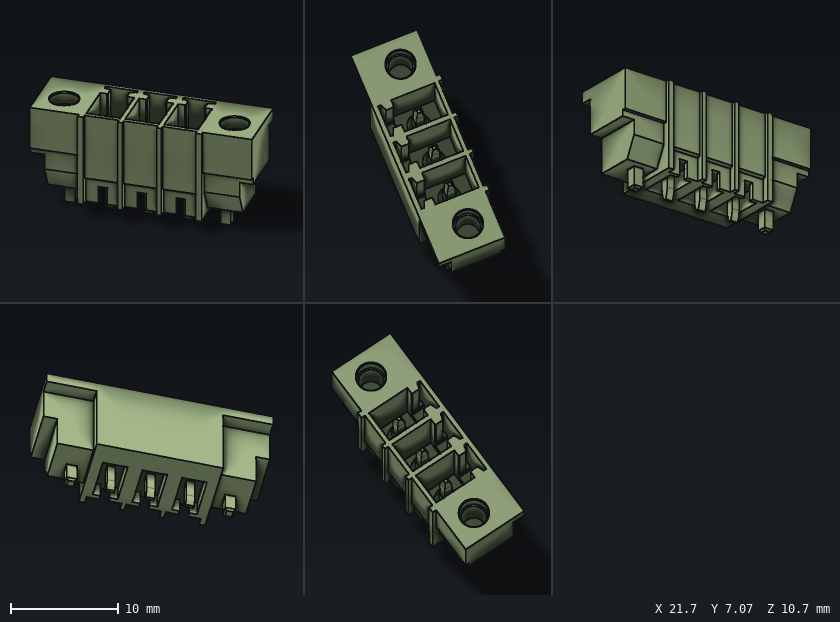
import cadquery as cq

ways = 3
pitch = 3.8
contact_x = [pitch * (i - (ways - 1) / 2) for i in range(ways)]
sides = (-1, 1)

length = 21.72
height = 9.17
back_y = 3.97
front_y = -2.72
lower_front_y = -2.35
skirt_y = -2.41
end_back_y = 2.72
core_half = 6.05
flange_z = 7.93
end_block_z = 4.25
end_lip_z = 4.9
lower_half = 9.54
lower_z = 0.59
bevel_top_z = 2.74
bevel_foot_y = -1.28
skirt_top_z = 2.6
skirt_slope_z = 2.41

rib_front_y = -3.1
rib_width = 0.45
end_rib_width = 0.59

pocket_width = 3.3
pocket_front_y = -2.25
pocket_back_y = 2.1
pocket_floor_z = 3.05
slot_back_y = 3.48
slot_wing_y = 3.2
slot_neck_y = 2.93
slot_width = 3.13
neck_width = 1.85
neck_chamfer = 0.09
slot_floor_z = 4.35
channel_width = 1.78
channel_floor_z = 3.7

collar_base_radius = 1.09
collar_shoulder_radius = 0.9
collar_top_radius = 0.7
collar_shoulder_height = 0.87
collar_height = 1.13
collar_bulge_radius = 0.83
collar_bulge_height = 1.02

cavity_width = 2.4
cavity_front_y = -1.95
cavity_height = 1.72
notch_width = 0.9

hole_x = 8.32
rim_diameter = 2.87
rim_depth = 0.13
bore_diameter = 2.7
bore_depth = 1.25
inner_diameter = 2.32
inner_depth = 4.35

contact_width = 0.8
contact_top_z = 7.86
contact_point_height = 0.74
contact_point_width = 0.33
tail_z = -1.55
tail_round_z = -0.4
tail_round_radius = 2.6

peg_x = 2 * pitch
peg_width = 1.02
peg_tip_width = 0.63
peg_tip_height = 0.22
peg_top_z = 2.74


def block(x_range, y_range, z_range):
    (x0, x1), (y0, y1), (z0, z1) = x_range, y_range, z_range
    return cq.Workplane("XY").box(x1 - x0, y1 - y0, z1 - z0, centered=False).translate((x0, y0, z0))


def centred_block(x, width, y_range, z_range):
    return block((x - width / 2, x + width / 2), y_range, z_range)


def profile_along_x(points, half_length):
    """Extrude a (Y, Z) outline symmetrically about X = 0."""
    return cq.Workplane("YZ").polyline(points).close().extrude(half_length, both=True)


def housing_body():
    core = profile_along_x(
        [
            (back_y, 0),
            (back_y, height),
            (front_y, height),
            (front_y, skirt_top_z),
            (skirt_y, skirt_slope_z),
            (skirt_y, 0),
        ],
        core_half,
    )
    upper_ends = profile_along_x(
        [
            (back_y, height),
            (front_y, height),
            (front_y, end_lip_z),
            (lower_front_y, end_lip_z),
            (lower_front_y, end_block_z),
            (end_back_y, end_block_z),
            (end_back_y, flange_z),
            (back_y, flange_z),
        ],
        length / 2,
    )
    lower_ends = profile_along_x(
        [
            (end_back_y, end_block_z),
            (lower_front_y, end_block_z),
            (lower_front_y, bevel_top_z),
            (bevel_foot_y, lower_z),
            (end_back_y, lower_z),
        ],
        lower_half,
    )
    return core.union(upper_ends).union(lower_ends)


def ribs():
    """Full-height ribs between the ways and, wider, at both ends of the core."""
    rib_y = (rib_front_y, lower_front_y)
    rib_z = (0, height)
    end_rib_x = core_half - end_rib_width / 2
    solids = [centred_block(side * end_rib_x, end_rib_width, rib_y, rib_z) for side in sides]
    for x in contact_x[:-1]:
        solids.append(centred_block(x + pitch / 2, rib_width, rib_y, rib_z))
    return solids


def pocket(x):
    """Rectangular plug pocket with its wing-ended keyed slot and the channel below it."""
    pocket_z = (pocket_floor_z, height)
    half_neck = neck_width / 2
    half_slot = slot_width / 2
    mouth = half_neck + neck_chamfer
    right_side = [
        (mouth, pocket_back_y),
        (half_neck, pocket_back_y + neck_chamfer),
        (half_neck, slot_neck_y),
        (half_slot, slot_wing_y),
        (half_slot, slot_back_y),
    ]
    left_side = [(-px, py) for px, py in reversed(right_side)]
    slot = (
        cq.Workplane("XY", origin=(x, 0, slot_floor_z))
        .polyline(right_side + left_side)
        .close()
        .extrude(height - slot_floor_z)
    )
    channel = centred_block(x, channel_width, (pocket_back_y, slot_back_y), (channel_floor_z, height))
    plug_space = centred_block(x, pocket_width, (pocket_front_y, pocket_back_y), pocket_z)
    return plug_space.union(slot).union(channel)


def collar(x):
    """Steep cone with a rounded shoulder, standing on the pocket floor."""
    return (
        cq.Workplane("XZ")
        .moveTo(0, 0)
        .lineTo(collar_base_radius, 0)
        .lineTo(collar_shoulder_radius, collar_shoulder_height)
        .threePointArc((collar_bulge_radius, collar_bulge_height), (collar_top_radius, collar_height))
        .lineTo(0, collar_height)
        .close()
        .revolve(360, (0, 0, 0), (0, 1, 0))
        .translate((x, 0, pocket_floor_z))
    )


def underside_cavity(x):
    cavity = centred_block(x, cavity_width, (cavity_front_y, -cavity_front_y), (0, cavity_height))
    notch = centred_block(x, notch_width, (skirt_y, cavity_front_y), (0, cavity_height))
    return cavity.union(notch)


def screw_hole(x):
    """Stepped blind hole with a bevelled rim, cut down from the top face."""
    return (
        cq.Workplane("XZ")
        .polyline(
            [
                (0, 0),
                (rim_diameter / 2, 0),
                (bore_diameter / 2, -rim_depth),
                (bore_diameter / 2, -bore_depth),
                (inner_diameter / 2, -bore_depth),
                (inner_diameter / 2, -inner_depth),
                (0, -inner_depth),
            ]
        )
        .close()
        .revolve(360, (0, 0, 0), (0, 1, 0))
        .translate((x, 0, height))
    )


def contact(x):
    """Square pin with a pointed top and a tail rounded towards its tip."""
    half = contact_width / 2
    shank_top_z = contact_top_z - contact_point_height
    shank = centred_block(x, contact_width, (-half, half), (tail_round_z, shank_top_z))
    point = (
        cq.Workplane("XY", origin=(x, 0, shank_top_z))
        .rect(contact_width, contact_width)
        .workplane(offset=contact_point_height)
        .rect(contact_point_width, contact_point_width)
        .loft(ruled=True)
    )

    def tail_y(z):
        drop = tail_round_z - z
        return half - tail_round_radius + (tail_round_radius**2 - drop**2) ** 0.5

    middle_z = (tail_round_z + tail_z) / 2
    tail = (
        cq.Workplane("YZ", origin=(x, 0, 0))
        .moveTo(half, tail_round_z)
        .threePointArc((tail_y(middle_z), middle_z), (tail_y(tail_z), tail_z))
        .lineTo(-tail_y(tail_z), tail_z)
        .threePointArc((-tail_y(middle_z), middle_z), (-half, tail_round_z))
        .close()
        .extrude(half, both=True)
    )
    return shank.union(point).union(tail)


def peg(x):
    """Square board peg with a bevelled tip."""
    tip_top_z = tail_z + peg_tip_height
    shank = centred_block(x, peg_width, (-peg_width / 2, peg_width / 2), (tip_top_z, peg_top_z))
    tip = (
        cq.Workplane("XY", origin=(x, 0, tail_z))
        .rect(peg_tip_width, peg_tip_width)
        .workplane(offset=peg_tip_height)
        .rect(peg_width, peg_width)
        .loft(ruled=True)
    )
    return shank.union(tip)


contacts = [contact(x) for x in contact_x]
pegs = [peg(side * peg_x) for side in sides]

housing = housing_body()
for rib in ribs():
    housing = housing.union(rib)
for x in contact_x:
    housing = housing.cut(pocket(x)).union(collar(x)).cut(underside_cavity(x))
for side in sides:
    housing = housing.cut(screw_hole(side * hole_x))
for insert in contacts + pegs:
    housing = housing.cut(insert)

result = cq.Compound.makeCompound([housing.val(), *[body.val() for body in contacts + pegs]])